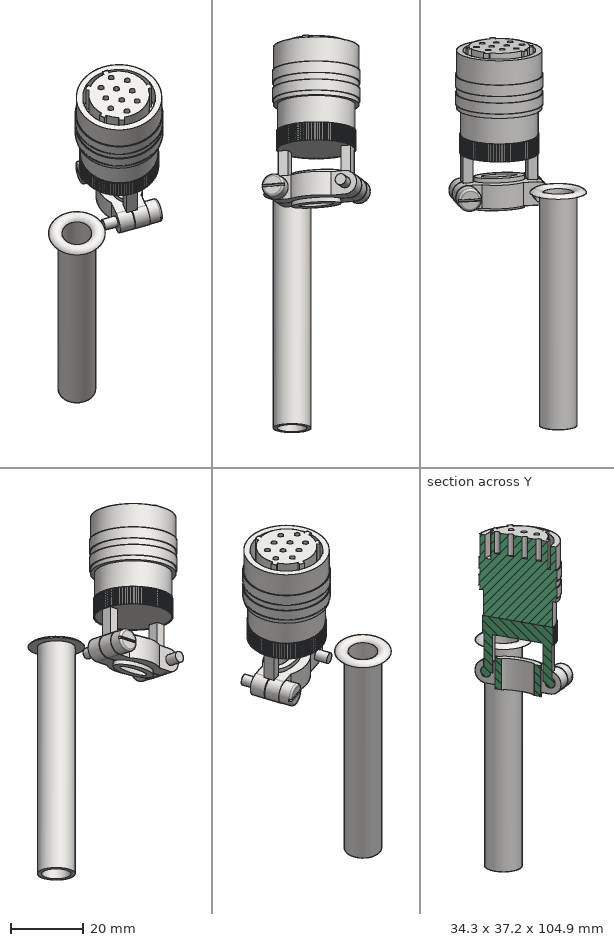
import cadquery as cq
import math


top_z = 104.9
rim_z = 103.7
upper_band_z = (93.5, 96.8)
lower_band_z = (88.5, 91.6)
shell_bottom_z = 87.2
barrel_bottom_z = 79.6

band_radius = 12.2
shell_radius = 11.9
barrel_radius = 10.8

mouth_radius = 10.1
mouth_floor_z = 96.8
insert_radius = 8.4
key_radius = 9.3
key_width = 1.6
key_angles = (90, -15, -50, -125, -175)

contact_diameter = 1.6
contact_depth = 6.3
contact_row_spacing = 3.9
middle_row_count = 4
middle_row_pitch = 4.3
outer_row_count = 3
outer_row_pitch = 4.0

ring_bottom_z = 74.5
ring_radius = 11.0
knurl_root_radius = 10.7
knurl_teeth = 88
knurl_land_share = 0.6

arm_outer_x = 10.6
arm_width = 2.8
arm_x = arm_outer_x - arm_width / 2
arm_depth = 3.1

screw_x = 10.0
screw_z = 63.3
lug_radius = 3.4
saddle_half_depth = 4.4
saddle_gap = 0.2
bulge_half_width = 5.9
bulge_y = 6.2

collar_half_length = 7.1
collar_half_depth = 3.4
collar_projection = 1.3
cable_hole_half_length = 5.0
cable_hole_half_depth = 1.5

head_radius = 3.3
screw_end_y = 8.2
head_round = 0.6
shank_radius = 1.6
slot_width = 0.6
slot_depth = 0.7

sleeve_x = 13.0
sleeve_y = -17.1
sleeve_top_z = 67.6
flange_base_z = 66.6
flange_radius = 7.9
tube_radius = 5.2
bore_radius = 4.1


def cylinder(radius, lower_z, upper_z):
    """A cylinder on the connector axis."""
    return cq.Workplane("XY").workplane(offset=lower_z).circle(radius).extrude(upper_z - lower_z)


def cylinder_along_y(radius, x, start_y, end_y):
    """A cylinder on a screw axis, from start_y to end_y."""
    section = cq.Workplane("XZ", origin=(x, start_y, screw_z)).circle(radius)
    return section.extrude(start_y - end_y)


def make_insert():
    """The round insert with narrow keys along its side."""
    insert = cylinder(insert_radius, mouth_floor_z, top_z)
    for angle in key_angles:
        key = (
            cq.Workplane("XY")
            .box(key_radius, key_width, top_z - mouth_floor_z, centered=(False, True, False))
            .rotate((0, 0, 0), (0, 0, 1), angle)
            .translate((0, 0, mouth_floor_z))
        )
        insert = insert.union(key)
    return insert


def contact_row(count, pitch, row_y):
    """Centers of a row of contacts, spread evenly about x = 0."""
    return [((index - (count - 1) / 2) * pitch, row_y) for index in range(count)]


def make_connector():
    """The banded shell, open at the top, with the insert standing in its mouth."""
    connector = cylinder(barrel_radius, barrel_bottom_z, shell_bottom_z)
    connector = connector.union(cylinder(shell_radius, shell_bottom_z, rim_z))
    for band_bottom_z, band_top_z in (upper_band_z, lower_band_z):
        connector = connector.union(cylinder(band_radius, band_bottom_z, band_top_z))
    connector = connector.cut(cylinder(mouth_radius, mouth_floor_z, rim_z))
    connector = connector.union(make_insert())

    contact_points = contact_row(middle_row_count, middle_row_pitch, 0)
    for row_y in (-contact_row_spacing, contact_row_spacing):
        contact_points += contact_row(outer_row_count, outer_row_pitch, row_y)
    contact_holes = (
        cq.Workplane("XY")
        .workplane(offset=top_z - contact_depth)
        .pushPoints(contact_points)
        .circle(contact_diameter / 2)
        .extrude(contact_depth)
    )
    return connector.cut(contact_holes)


def make_knurled_ring():
    """A disc with flat-topped teeth around its rim, separated by narrow radial-walled grooves."""
    tooth_angle = 2 * math.pi / knurl_teeth
    half_land = tooth_angle * knurl_land_share / 2
    points = []
    for tooth in range(knurl_teeth):
        start = tooth * tooth_angle - half_land
        end = tooth * tooth_angle + half_land
        for radius, angle in (
            (knurl_root_radius, start),
            (ring_radius, start),
            (ring_radius, end),
            (knurl_root_radius, end),
        ):
            points.append((radius * math.cos(angle), radius * math.sin(angle)))
    section = cq.Workplane("XY").workplane(offset=ring_bottom_z).polyline(points).close()
    return section.extrude(barrel_bottom_z - ring_bottom_z)


def make_saddle(side):
    """One half of the clamp: a bulged strap with a round lug at each end; side is -1 or 1 along Y."""
    inner_y = side * saddle_gap / 2
    outer_y = side * saddle_half_depth
    saddle = (
        cq.Workplane("XY")
        .workplane(offset=screw_z - lug_radius)
        .moveTo(-screw_x, inner_y)
        .lineTo(-screw_x, outer_y)
        .lineTo(-bulge_half_width, outer_y)
        .threePointArc((0, side * bulge_y), (bulge_half_width, outer_y))
        .lineTo(screw_x, outer_y)
        .lineTo(screw_x, inner_y)
        .close()
        .extrude(2 * lug_radius)
    )
    for lug_x in (-screw_x, screw_x):
        saddle = saddle.union(cylinder_along_y(lug_radius, lug_x, inner_y, outer_y))
    return saddle


def make_screw(side):
    """A slotted screw; the one at x < 0 has its head at -Y, the other one at +Y."""
    x = side * screw_x
    head_y = side * screw_end_y
    head = cylinder_along_y(head_radius, x, side * saddle_half_depth, head_y)
    head = head.faces(">Y" if side > 0 else "<Y").edges().fillet(head_round)
    slot = cq.Workplane("XY").box(2 * head_radius, 2 * slot_depth, slot_width)
    head = head.cut(slot.translate((x, head_y, screw_z)))
    shank = cylinder_along_y(shank_radius, x, side * saddle_half_depth, -head_y)
    return head.union(shank)


def oval(half_length, half_depth):
    """An elliptical column as tall as the collar."""
    height = 2 * (lug_radius + collar_projection)
    base = cq.Workplane("XY").workplane(offset=screw_z - height / 2)
    return base.ellipse(half_length, half_depth).extrude(height)


def make_cable_clamp():
    """The knurled ring, its arms, and the screwed saddles around an oval collar with a cable hole."""
    clamp = make_knurled_ring()
    for side in (-1, 1):
        arm = cq.Workplane("XY").box(
            arm_width, arm_depth, ring_bottom_z - screw_z, centered=(True, True, False)
        )
        clamp = clamp.union(arm.translate((side * arm_x, 0, screw_z)))
        clamp = clamp.union(make_saddle(side))
        clamp = clamp.union(make_screw(side))
    clamp = clamp.union(oval(collar_half_length, collar_half_depth))
    return clamp.cut(oval(cable_hole_half_length, cable_hole_half_depth))


def make_sleeve():
    """The tube and its flange, whose top is an arc from the bore to the outer edge."""
    crown_radius = (bore_radius + flange_radius) / 2
    return (
        cq.Workplane("XZ")
        .moveTo(bore_radius, 0)
        .lineTo(tube_radius, 0)
        .lineTo(tube_radius, flange_base_z)
        .lineTo(flange_radius, flange_base_z)
        .threePointArc((crown_radius, sleeve_top_z), (bore_radius, flange_base_z))
        .close()
        .revolve(360, (0, 0, 0), (0, 1, 0))
        .translate((sleeve_x, sleeve_y, 0))
    )


connector = make_connector()
cable_clamp = make_cable_clamp()
sleeve = make_sleeve()

result = cq.Compound.makeCompound([connector.val(), cable_clamp.val(), sleeve.val()])